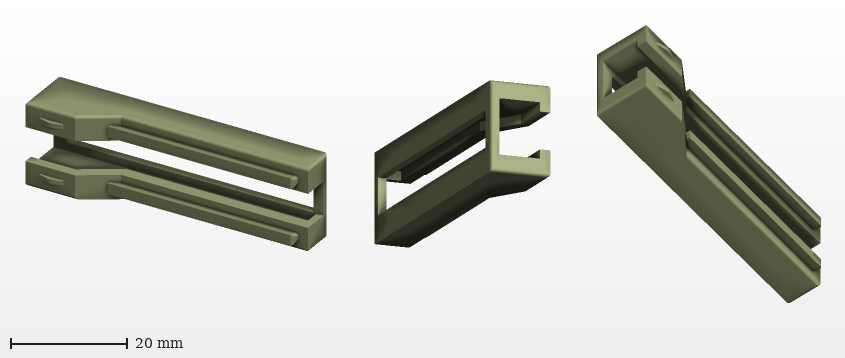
import cadquery as cq
import math

length = 53.8
height = 16.2
deep_depth = 11.0
shallow_depth = 6.8
ramp_start = 9.9
ramp_end = 16.55
edge_size = 0.55

back_wall = 1.55
end_wall = 1.4
channel_height = 9.95
channel_deep = 9.1
channel_shallow = 4.5
channel_ramp_start = 8.8
channel_ramp_end = 16.15

slot_height = 6.65
window_left = 2.5
window_right = length - 2.05

rail_left = 15.0
rail_right = 51.9
rail_height = 2.1
rail_front = 8.7
rail_flank_angle = 12.0
rail_offset = 5.55
rail_end_length = 0.5
rail_end_inset = 0.3

bump_center_x = 5.2
bump_length = 4.5
bump_height = 0.85
bump_lip = 0.15
bump_rise = 0.7
bump_tip_half_width = 0.75
bump_offset = 5.5
bump_root_radius = 0.135

wall_overlap = 0.55
pick_margin = 0.05


def stepped_prism(right, back, deep, shallow, ramp_from, ramp_to, z_size):
    """Prism about Z = 0 whose front ramps from deep to shallow; depth runs toward -Y."""
    return (
        cq.Workplane("XY")
        .moveTo(0, -back)
        .lineTo(0, -deep)
        .lineTo(ramp_from, -deep)
        .lineTo(ramp_to, -shallow)
        .lineTo(right, -shallow)
        .lineTo(right, -back)
        .close()
        .extrude(z_size / 2, both=True)
    )


def opening(left, right, front, back, z_size):
    """Cutting box about Z = 0 between two depths."""
    box = cq.Workplane("XY").box(right - left, front - back, z_size, centered=(False, False, True))
    return box.translate((left, -front, 0))


def make_body():
    """Solid body with its outer edges softened; the lower edge of the ramp stays sharp."""
    body = stepped_prism(length, 0, deep_depth, shallow_depth, ramp_start, ramp_end, height)
    body = body.edges("|Z and >Y and >X").chamfer(edge_size)
    back_left = "(|Z and >Y and <X)"
    end_edges = "(|Y and (<X or >X))"
    front_edges = "(|X and (not >Y))"
    ramp_top = cq.selectors.BoxSelector(
        (ramp_start, -deep_depth, height / 2 - pick_margin),
        (ramp_end, -shallow_depth, height / 2 + pick_margin),
    )
    rounded = body.edges(f"{back_left} or {end_edges} or {front_edges}").add(body.edges(ramp_top))
    return rounded.fillet(edge_size)


def cut_openings(body):
    channel = stepped_prism(
        length - end_wall, back_wall, channel_deep, channel_shallow,
        channel_ramp_start, channel_ramp_end, channel_height,
    )
    slot = opening(0, length, deep_depth, back_wall, slot_height)
    window = opening(window_left, window_right, back_wall, 0, slot_height)
    return body.cut(channel).cut(slot).cut(window)


def rail_section(inset):
    """Corners (Y, Z) of the dovetail section, wider at the front, shrunk by an inset."""
    root = shallow_depth - wall_overlap
    front_half = rail_height / 2
    root_half = front_half - (rail_front - root) * math.tan(math.radians(rail_flank_angle))
    front_half -= inset
    root_half -= inset
    front = rail_front - inset
    return [(-front, -front_half), (-front, front_half), (-root, root_half), (-root, -root_half)]


def make_rail(center_z):
    """Dovetail rail whose right end tapers in on the front and both flanks."""
    straight_end = rail_right - rail_end_length
    bar = (
        cq.Workplane("YZ", origin=(rail_left, 0, 0))
        .polyline(rail_section(0))
        .close()
        .extrude(straight_end - rail_left)
    )
    tapered_end = (
        cq.Workplane("YZ", origin=(straight_end, 0, 0))
        .polyline(rail_section(0))
        .close()
        .workplane(offset=rail_end_length)
        .polyline(rail_section(rail_end_inset))
        .close()
        .loft(ruled=True)
    )
    return bar.union(tapered_end).translate((0, 0, center_z))


def make_bump(center_z):
    """Latch bump: a shallow wedge with a rounded tip."""
    half = bump_length / 2
    tip = bump_tip_half_width
    slope = (bump_rise - bump_lip) / (half - tip / 2)
    shoulder = bump_lip + slope * (half - tip)
    bump = (
        cq.Workplane("XY")
        .moveTo(-half, wall_overlap)
        .lineTo(-half, -bump_lip)
        .lineTo(-tip, -shoulder)
        .threePointArc((0, -bump_rise), (tip, -shoulder))
        .lineTo(half, -bump_lip)
        .lineTo(half, wall_overlap)
        .close()
        .extrude(bump_height / 2, both=True)
    )
    return bump.translate((bump_center_x, -deep_depth, center_z))


def add_bump(part, center_z):
    """Join a latch bump and blend its root into the front face."""
    root = cq.selectors.BoxSelector(
        (bump_center_x - bump_length, -deep_depth - pick_margin, center_z - bump_height),
        (bump_center_x + bump_length, -deep_depth + pick_margin, center_z + bump_height),
    )
    return part.union(make_bump(center_z)).edges(root).fillet(bump_root_radius)


result = cut_openings(make_body())
for side in (-1, 1):
    result = result.union(make_rail(side * rail_offset))
    result = add_bump(result, side * bump_offset)